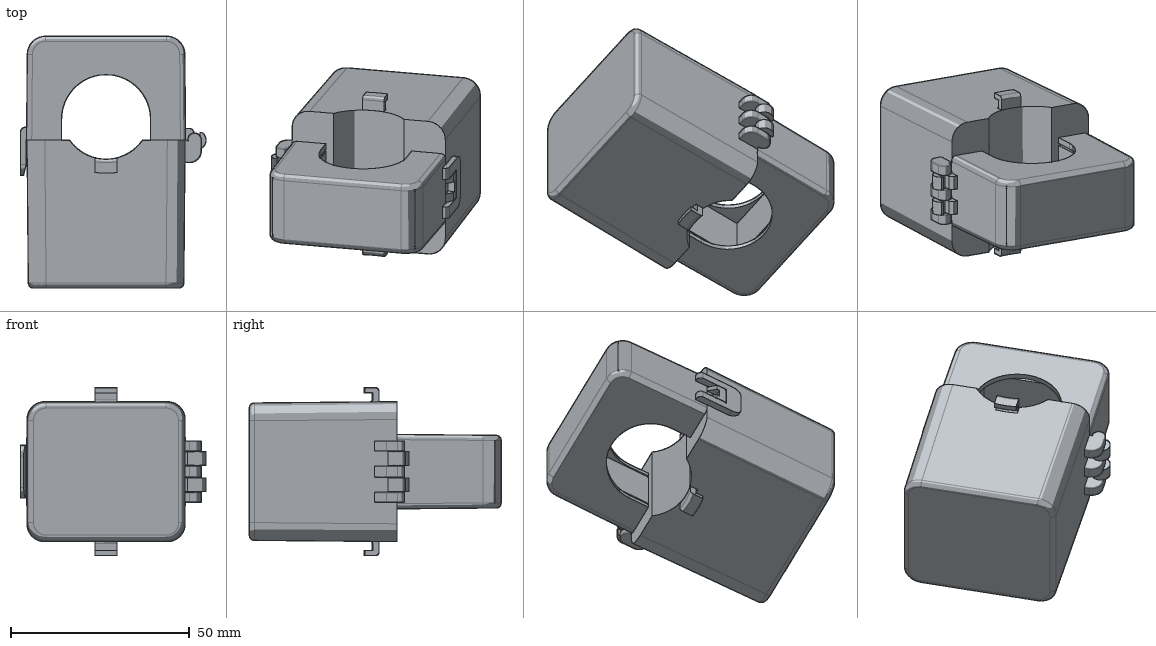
import cadquery as cq
import math


total_length = 70.6
lower_length = 41.45
upper_length = total_length - lower_length
draft = 0.5
lower_half_width = 22.2
lower_half_height = 19.6
upper_half_width = 22.3
upper_half_height = 10.45
lower_corner_radius = 5.0
upper_corner_radius = 5.15
edge_radius = 1.5

bore_radius = 12.4
upper_bore_y = 5.9
lower_bore_y = 7.1

wall = 1.7
core_gap = 0.65
cavity_half_height = upper_half_height - wall
core_half_height = cavity_half_height - core_gap
cavity_half_width = upper_half_width - wall
cavity_depth = upper_length - wall
core_window_half_width = bore_radius
core_window_depth = 18.2

hook_tip_z = 47.1 / 2
hook_half_width = 3.1
hook_curve_radius = 20.5
hook_thickness = 1.5
stem_thickness = 1.8
hook_reach = 3.95
hook_bend_radius = 1.0
hook_root_radius = 0.5

latch_outer_x = -24.0
latch_inner_x = -22.4
latch_half_width = 7.4
latch_top_y = 3.7
latch_bottom_y = -9.8
latch_corner_radius = 3.0
latch_nose_radius = 1.5
latch_window_half_width = 4.1
latch_window_bottom_y = -5.15
lip_start_y = -7.0
lip_lift = 0.7

catch_half_width = 3.95
catch_bottom_y = -5.0
catch_ramp_length = 2.25
catch_outer_x = latch_outer_x
catch_notch_half_width = 1.55
catch_notch_length = 3.05

pin_x = 25.4
pin_radius = 0.85
knuckle_outer_x = 26.7
knuckle_bottom_y = -6.3
knuckle_nose_radius = 1.9
knuckle_nose_y = 0.15
knuckle_heel_radius = 3.25
knuckle_edge_radius = 0.2
middle_knuckle_half_height = 1.6
outer_knuckle_inner_z = 5.7
outer_knuckle_outer_z = 8.6
arm_inner_z = 1.8
arm_outer_z = 5.6
arm_radius = 2.6
arm_tip_y = 2.2
lug_top_y = 3.3
lug_corner_radius = 1.3


def block(x0, x1, y0, y1, z0, z1):
    """Plain box between opposite corners."""
    return cq.Workplane("XY").box(x1 - x0, y1 - y0, z1 - z0, centered=False).translate((x0, y0, z0))


def drafted_block(half_width, half_height, length):
    """Block that grows along +Y from the parting plane and narrows by the draft angle."""
    section = cq.Workplane("XZ").rect(2 * half_width, 2 * half_height)
    return section.extrude(length, taper=draft).mirror("XZ")


def lower_shell():
    body = drafted_block(lower_half_width, lower_half_height, lower_length).mirror("XZ")
    long_edges = cq.selectors.BoxSelector((-35.3, -lower_length + 0.7, -35.3), (35.3, -0.7, 35.3))
    end_edges = cq.selectors.BoxSelector((-35.3, -lower_length - 0.7, -35.3), (35.3, -lower_length + 0.1, 35.3))
    side_faces_edges = body.edges(long_edges)
    body = side_faces_edges.fillet(lower_corner_radius)
    body = body.edges(end_edges).fillet(edge_radius)
    notch = cq.Workplane("XY").center(0, lower_bore_y).circle(bore_radius)
    return body.cut(notch.extrude(lower_half_height + 0.7, both=True))


def tie_hook():
    """L-shaped hook above the lower half, curved around an axis parallel to Z."""
    front = hook_curve_radius
    front_y = lower_bore_y - bore_radius
    stem_back = front + stem_thickness
    tip = front + hook_reach
    underside = hook_tip_z - hook_thickness
    root_z = lower_half_height - math.tan(math.radians(draft)) * (stem_thickness - front_y)
    diagonal = 1 - math.sqrt(0.5)
    bend = hook_bend_radius
    root = hook_root_radius
    profile = (
        cq.Workplane("XZ")
        .moveTo(front, lower_half_height - 0.7)
        .lineTo(front, hook_tip_z - bend)
        .threePointArc(
            (front + bend * diagonal, hook_tip_z - bend * diagonal),
            (front + bend, hook_tip_z),
        )
        .lineTo(tip, hook_tip_z)
        .lineTo(tip, underside)
        .lineTo(stem_back, underside)
        .lineTo(stem_back, root_z + root)
        .threePointArc(
            (stem_back + root * diagonal, root_z + root * diagonal),
            (stem_back + root, root_z),
        )
        .lineTo(stem_back + root, lower_half_height - 0.7)
        .close()
    )
    ring = profile.revolve(360, (0, 0, 0), (0, 1, 0)).translate((0, front_y + front, 0))
    return ring.intersect(block(-hook_half_width, hook_half_width, -14.1, 0, 0, hook_tip_z))


def catch():
    """Ramped catch with a notch in its middle."""
    wall_x = -lower_half_width + 0.7
    wedge = (
        cq.Workplane("XY")
        .moveTo(wall_x, 0)
        .lineTo(-lower_half_width, 0)
        .lineTo(catch_outer_x, -catch_ramp_length)
        .lineTo(catch_outer_x, catch_bottom_y)
        .lineTo(wall_x, catch_bottom_y)
        .close()
        .extrude(catch_half_width, both=True)
    )
    notch = block(
        catch_outer_x, -lower_half_width,
        -catch_notch_length, 0,
        -catch_notch_half_width, catch_notch_half_width,
    )
    return wedge.cut(notch)


def knuckle(z0, z1):
    """Hinge knuckle of the lower half, with a round nose past the parting plane."""
    nose_left = knuckle_outer_x - 2 * knuckle_nose_radius
    root_x = lower_half_width - 0.7
    body = (
        cq.Workplane("XY")
        .moveTo(root_x, 0)
        .lineTo(nose_left, 0)
        .lineTo(nose_left, knuckle_nose_y)
        .threePointArc(
            (nose_left + knuckle_nose_radius, knuckle_nose_y + knuckle_nose_radius),
            (knuckle_outer_x, knuckle_nose_y),
        )
        .lineTo(knuckle_outer_x, knuckle_bottom_y + knuckle_heel_radius)
        .radiusArc((knuckle_outer_x - knuckle_heel_radius, knuckle_bottom_y), knuckle_heel_radius)
        .lineTo(root_x, knuckle_bottom_y)
        .close()
        .extrude(z1 - z0)
        .translate((0, 0, z0))
    )
    return body.faces("<Z or >Z").edges().fillet(knuckle_edge_radius)


def build_lower_housing():
    body = lower_shell()
    hook = tie_hook()
    body = body.union(hook).union(hook.mirror("XY")).union(catch())
    knuckle_spans = [
        (-outer_knuckle_outer_z, -outer_knuckle_inner_z),
        (-middle_knuckle_half_height, middle_knuckle_half_height),
        (outer_knuckle_inner_z, outer_knuckle_outer_z),
    ]
    for z0, z1 in knuckle_spans:
        body = body.union(knuckle(z0, z1))
    pin = cq.Workplane("XY").center(pin_x, 0).circle(pin_radius).extrude(outer_knuckle_inner_z + 0.7, both=True)
    return body.union(pin)


def upper_shell():
    body = drafted_block(upper_half_width, upper_half_height, upper_length)
    end_corners = cq.selectors.BoxSelector((-35.3, upper_length - 0.1, -3.5), (35.3, upper_length + 0.1, 3.5))
    body = body.edges(end_corners).edges("|Z").fillet(upper_corner_radius)
    rim = cq.selectors.BoxSelector((-35.3, 0.1, -35.3), (35.3, upper_length + 0.7, 35.3))
    body = body.faces("<Z or >Z").edges(rim).fillet(edge_radius)
    cavity = block(
        -cavity_half_width, cavity_half_width,
        0, cavity_depth,
        -cavity_half_height, cavity_half_height,
    )
    return body.cut(cavity).cut(upper_bore())


def upper_bore():
    """Arch-shaped opening: a half circle with straight legs down to the parting plane."""
    arch = (
        cq.Workplane("XY")
        .moveTo(-bore_radius, 0)
        .lineTo(-bore_radius, upper_bore_y)
        .threePointArc((0, upper_bore_y + bore_radius), (bore_radius, upper_bore_y))
        .lineTo(bore_radius, 0)
        .close()
    )
    return arch.extrude(upper_half_height + 0.7, both=True)


def latch():
    """Forked latch plate that reaches over the catch of the lower half."""
    root_x = -upper_half_width + 0.7
    plate = (
        cq.Workplane("XY")
        .moveTo(root_x, latch_top_y)
        .lineTo(latch_outer_x + latch_nose_radius, latch_top_y)
        .radiusArc((latch_outer_x, latch_top_y - latch_nose_radius), -latch_nose_radius)
        .lineTo(latch_outer_x, latch_bottom_y)
        .lineTo(latch_inner_x - lip_lift, latch_bottom_y)
        .lineTo(latch_inner_x, lip_start_y)
        .lineTo(latch_inner_x, 0)
        .lineTo(root_x, 0)
        .close()
        .extrude(latch_half_width, both=True)
    )
    lip_corners = cq.selectors.BoxSelector((-35.3, latch_bottom_y - 0.1, -35.3), (0, latch_bottom_y + 0.1, 35.3))
    plate = plate.edges("|X").edges(lip_corners).fillet(latch_corner_radius)
    window = block(
        latch_outer_x, root_x,
        latch_window_bottom_y, latch_top_y,
        -latch_window_half_width, latch_window_half_width,
    )
    return plate.cut(window)


def hinge_arm():
    """Round arm that hooks over the hinge pin, open towards +Y."""
    height = arm_outer_z - arm_inner_z
    lug_right_x = pin_x - pin_radius
    lug = block(upper_half_width - 0.7, lug_right_x, 0, lug_top_y, 0, height)
    lug = lug.edges("|Z and >X and >Y").fillet(lug_corner_radius)
    disc = cq.Workplane("XY").center(pin_x, 0).circle(arm_radius).extrude(height)
    pin_hole = cq.Workplane("XY").center(pin_x, 0).circle(pin_radius).extrude(height)
    mouth = block(lug_right_x, pin_x + pin_radius, 0, lug_top_y, 0, height)
    beyond_tip = block(lug_right_x, pin_x + arm_radius, arm_tip_y, lug_top_y, 0, height)
    return lug.union(disc).cut(pin_hole).cut(mouth).cut(beyond_tip).translate((0, 0, arm_inner_z))


def build_upper_housing():
    arm = hinge_arm()
    return upper_shell().union(latch()).union(arm).union(arm.mirror("XY"))


def build_core():
    """U-shaped core with its two ends on the parting plane."""
    core = block(
        -cavity_half_width, cavity_half_width,
        0, cavity_depth,
        -core_half_height, core_half_height,
    )
    window = block(
        -core_window_half_width, core_window_half_width,
        0, core_window_depth,
        -core_half_height, core_half_height,
    )
    return core.cut(window)


lower_housing = build_lower_housing()
upper_housing = build_upper_housing()
core = build_core()

result = cq.Compound.makeCompound([lower_housing.val(), upper_housing.val(), core.val()])